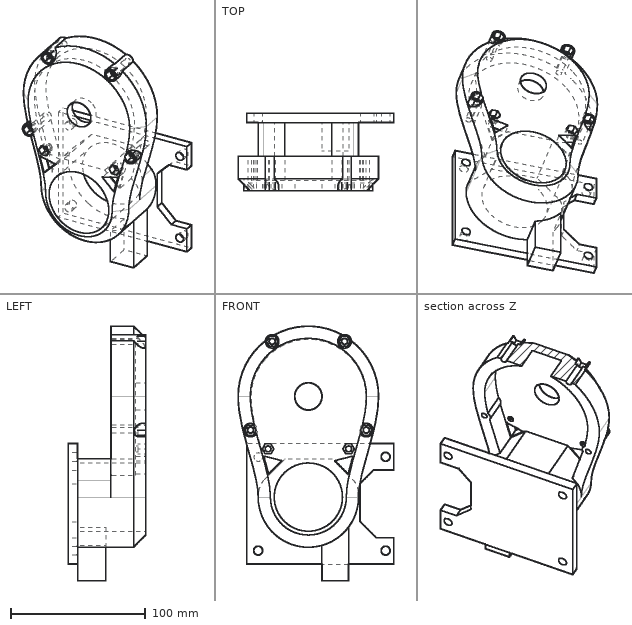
import cadquery as cq
import math


LARGE_RADIUS = 52.5
SMALL_RADIUS = 37.5
AXIS_DISTANCE = 75.0
LARGE_END_PULL = 25.0
SMALL_END_PULL = 20.0
COVER_DEPTH = 26.0
COVER_CHAMFER = 9.1
FRONT_WALL = 8.0
CAVITY_INSET = 9.7
SHAFT_HOLE_DIAMETER = 20.1
BORE_DIAMETER = 51.0

STANDOFF_DEPTH = 24.9
STANDOFF_TOP = -46.4
STANDOFF_TOP_HALF_WIDTH = 17.5
STANDOFF_SHOULDER_X = 33.5

PLATE_THICKNESS = 7.0
PLATE_LEFT = -46.0
PLATE_RIGHT = 63.8
PLATE_TOP = -35.0
PLATE_HEIGHT = 90.0
NOTCH_X = 38.5
UPPER_EAR_HEIGHT = 20.0
LOWER_EAR_HEIGHT = 19.8
UPPER_NOTCH_SLOPE = 10.0
LOWER_NOTCH_SLOPE = 12.0
PLATE_HOLE_DIAMETER = 6.5
PLATE_HOLE_LEFT = -37.5
PLATE_HOLE_SPAN_X = 95.0
PLATE_HOLE_TOP = -45.0
PLATE_HOLE_SPAN_Z = 70.0

FOOT_LEFT = 10.0
FOOT_WIDTH = 20.0
FOOT_DEPTH = 21.0
FOOT_BOTTOM = -137.5

BOSS_DIAMETER = 10.0
SCREW_DIAMETER = 4.4
NUT_ACROSS_FLATS = 7.5
NUT_DEPTH = 6.0
UPPER_BOSS = (27.0, 41.0)
LOWER_BOSS = (43.1, -25.0)
WALL_NUT = (30.0, -39.1)

WINDOW_INNER = (19.8, -47.9)
WINDOW_OUTER_TOP = (33.2, -44.5)
WINDOW_OUTER_BOTTOM = (29.6, -57.8)

PLATE_FRONT = COVER_DEPTH + STANDOFF_DEPTH
BORE_Z = -AXIS_DISTANCE


def plane_at(y):
    """Plane square to Y, with local x along X and local y along Z."""
    return cq.Workplane("XZ", origin=(0, y, 0))


def extrude_back(sketch, depth):
    """Extrude towards +Y, away from the front of the cover."""
    return sketch.extrude(-depth)


def mirrored(point):
    """The same point on both sides of the centre plane."""
    x, z = point
    return [(-x, z), (x, z)]


def cover_outline(y, inset=0.0):
    """Two half circles joined by S-curves that leave both of them vertically."""
    large = LARGE_RADIUS - inset
    small = SMALL_RADIUS - inset
    large_handle_z = -LARGE_END_PULL
    small_handle_z = BORE_Z + SMALL_END_PULL
    right_side = [(large, 0), (large, large_handle_z), (small, small_handle_z), (small, BORE_Z)]
    left_side = [(-x, z) for x, z in reversed(right_side)]
    return (
        plane_at(y)
        .moveTo(-large, 0)
        .threePointArc((0, large), (large, 0))
        .bezier(right_side[1:], includeCurrent=True)
        .threePointArc((0, BORE_Z - small), (-small, BORE_Z))
        .bezier(left_side[1:], includeCurrent=True)
        .close()
    )


def standoff_solid(y, depth):
    """Round below the bore axis, narrowing to a flat top above it."""
    shoulder_z = STANDOFF_TOP - (STANDOFF_SHOULDER_X - STANDOFF_TOP_HALF_WIDTH)
    outline = (
        plane_at(y)
        .moveTo(SMALL_RADIUS, BORE_Z)
        .threePointArc((0, BORE_Z - SMALL_RADIUS), (-SMALL_RADIUS, BORE_Z))
        .spline([(-STANDOFF_SHOULDER_X, shoulder_z)], tangents=[(0, 1), (1, 1)], includeCurrent=True)
        .lineTo(-STANDOFF_TOP_HALF_WIDTH, STANDOFF_TOP)
        .lineTo(STANDOFF_TOP_HALF_WIDTH, STANDOFF_TOP)
        .lineTo(STANDOFF_SHOULDER_X, shoulder_z)
        .spline([(SMALL_RADIUS, BORE_Z)], tangents=[(1, -1), (0, -1)], includeCurrent=True)
        .close()
    )
    return extrude_back(outline, depth)


def cover_shell():
    """Chamfered cover, hollow from the back except around the bore."""
    body = extrude_back(cover_outline(0), COVER_DEPTH).faces("<Y").chamfer(COVER_CHAMFER)
    cavity_depth = COVER_DEPTH - FRONT_WALL
    cavity = extrude_back(cover_outline(FRONT_WALL, CAVITY_INSET), cavity_depth)
    cavity = cavity.cut(standoff_solid(FRONT_WALL, cavity_depth))
    return body.cut(cavity)


def mounting_plate():
    bottom = PLATE_TOP - PLATE_HEIGHT
    upper_ear = PLATE_TOP - UPPER_EAR_HEIGHT
    lower_ear = bottom + LOWER_EAR_HEIGHT
    outline = plane_at(PLATE_FRONT).polyline([
        (PLATE_LEFT, PLATE_TOP),
        (PLATE_RIGHT, PLATE_TOP),
        (PLATE_RIGHT, upper_ear),
        (NOTCH_X + UPPER_NOTCH_SLOPE, upper_ear),
        (NOTCH_X, upper_ear - UPPER_NOTCH_SLOPE),
        (NOTCH_X, lower_ear + LOWER_NOTCH_SLOPE),
        (NOTCH_X + LOWER_NOTCH_SLOPE, lower_ear),
        (PLATE_RIGHT, lower_ear),
        (PLATE_RIGHT, bottom),
        (PLATE_LEFT, bottom),
    ]).close()
    hole_points = [
        (PLATE_HOLE_LEFT + dx, PLATE_HOLE_TOP - dz)
        for dx in (0, PLATE_HOLE_SPAN_X)
        for dz in (0, PLATE_HOLE_SPAN_Z)
    ]
    holes = plane_at(PLATE_FRONT).pushPoints(hole_points).circle(PLATE_HOLE_DIAMETER / 2)
    return extrude_back(outline, PLATE_THICKNESS).cut(extrude_back(holes, PLATE_THICKNESS))


def foot_bar():
    height = BORE_Z - FOOT_BOTTOM
    centre = (FOOT_LEFT + FOOT_WIDTH / 2, FOOT_BOTTOM + height / 2)
    profile = plane_at(PLATE_FRONT - FOOT_DEPTH).center(*centre).rect(FOOT_WIDTH, height)
    return extrude_back(profile, FOOT_DEPTH)


def cylinders(points, diameter, depth):
    return extrude_back(plane_at(0).pushPoints(points).circle(diameter / 2), depth)


def nut_recesses(points):
    across_corners = NUT_ACROSS_FLATS / math.cos(math.pi / 6)
    return extrude_back(plane_at(0).pushPoints(points).polygon(6, across_corners), NUT_DEPTH)


def window(side):
    corners = (WINDOW_INNER, WINDOW_OUTER_TOP, WINDOW_OUTER_BOTTOM)
    outline = plane_at(0).polyline([(side * x, z) for x, z in corners]).close()
    return extrude_back(outline, COVER_DEPTH)


boss_points = mirrored(UPPER_BOSS) + mirrored(LOWER_BOSS)
screw_points = boss_points + mirrored(WALL_NUT)

result = (
    cover_shell()
    .union(standoff_solid(COVER_DEPTH, STANDOFF_DEPTH))
    .union(mounting_plate())
    .union(foot_bar())
    .union(cylinders(boss_points, BOSS_DIAMETER, COVER_DEPTH))
    .cut(cylinders(screw_points, SCREW_DIAMETER, COVER_DEPTH))
    .cut(nut_recesses(screw_points))
    .cut(cylinders([(0, 0)], SHAFT_HOLE_DIAMETER, COVER_DEPTH))
    .cut(cylinders([(0, BORE_Z)], BORE_DIAMETER, PLATE_FRONT))
    .cut(window(-1))
    .cut(window(1))
)